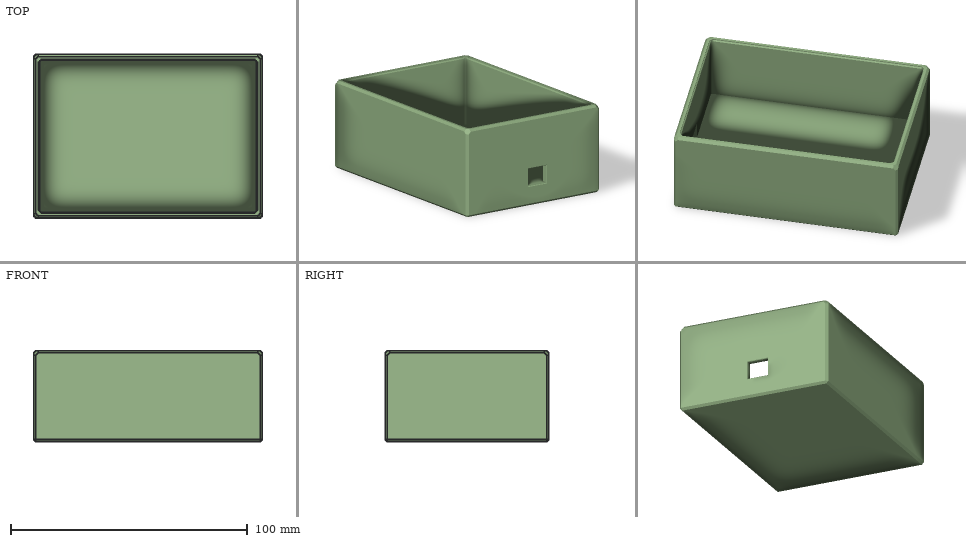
import cadquery as cq

length = 96.7
width = 69.2
height = 38.5
outer_chamfer = 1.0
corner_leg = 3 * outer_chamfer

wall = 2.5
floor = 8.6
cavity_chamfer = 0.5
rim_corner_chamfer = 3 * cavity_chamfer

port_width = 9.5
port_height = 7.7
port_center_y = -2.0
port_chamfer = 0.25


def outer_block():
    """Solid box standing on Z = 0 with every edge chamfered."""
    block = cq.Workplane("XY").box(length, width, height, centered=(True, True, False))
    return block.edges().chamfer(outer_chamfer)


def corner_wedge(x_side, y_side):
    """Tetrahedron at one top corner; each side is -1 or 1."""
    tip = cq.Vector(x_side * length / 2, y_side * width / 2, height)
    along_x = tip - cq.Vector(x_side * corner_leg, 0, 0)
    along_y = tip - cq.Vector(0, y_side * corner_leg, 0)
    along_z = tip - cq.Vector(0, 0, corner_leg)
    triangles = [
        (tip, along_x, along_y),
        (tip, along_y, along_z),
        (tip, along_z, along_x),
        (along_x, along_y, along_z),
    ]
    faces = [cq.Face.makeFromWires(cq.Wire.makePolygon(points, close=True)) for points in triangles]
    return cq.Workplane(cq.Solid.makeSolid(cq.Shell.makeShell(faces)))


def cut_top_corners(body):
    """Trim the four top corners with a flat facet."""
    for x_side in (-1, 1):
        for y_side in (-1, 1):
            body = body.cut(corner_wedge(x_side, y_side))
    return body


def cut_cavity(body):
    """Hollow the box, bevelling the vertical corners and the inner rim."""
    cavity_length = length - 2 * wall
    cavity_width = width - 2 * wall
    cavity = (
        cq.Workplane("XY", origin=(0, 0, floor))
        .rect(cavity_length, cavity_width)
        .extrude(height - floor)
        .edges("|Z")
        .chamfer(cavity_chamfer)
    )
    rim_bevel = (
        cq.Workplane("XY", origin=(0, 0, height))
        .rect(cavity_length + 2 * cavity_chamfer, cavity_width + 2 * cavity_chamfer)
        .extrude(-2 * cavity_chamfer)
        .edges("|Z")
        .chamfer(rim_corner_chamfer)
        .faces("<Z")
        .chamfer(cavity_chamfer)
    )
    return body.cut(cavity).cut(rim_bevel)


def cut_port(body):
    """Cut the port into the cavity, level with its floor, with a bevelled mouth."""
    port_depth = 2 * wall
    port = (
        cq.Workplane("XY")
        .box(port_depth, port_width, port_height, centered=(False, True, False))
        .translate((-length / 2, port_center_y, floor))
    )
    flare = (
        cq.Workplane("YZ", origin=(-length / 2, port_center_y, floor + port_height / 2))
        .rect(port_width + 2 * port_chamfer, port_height + 2 * port_chamfer)
        .workplane(offset=port_chamfer)
        .rect(port_width, port_height)
        .loft(ruled=True)
    )
    return body.cut(port).cut(flare)


result = cut_port(cut_cavity(cut_top_corners(outer_block())))